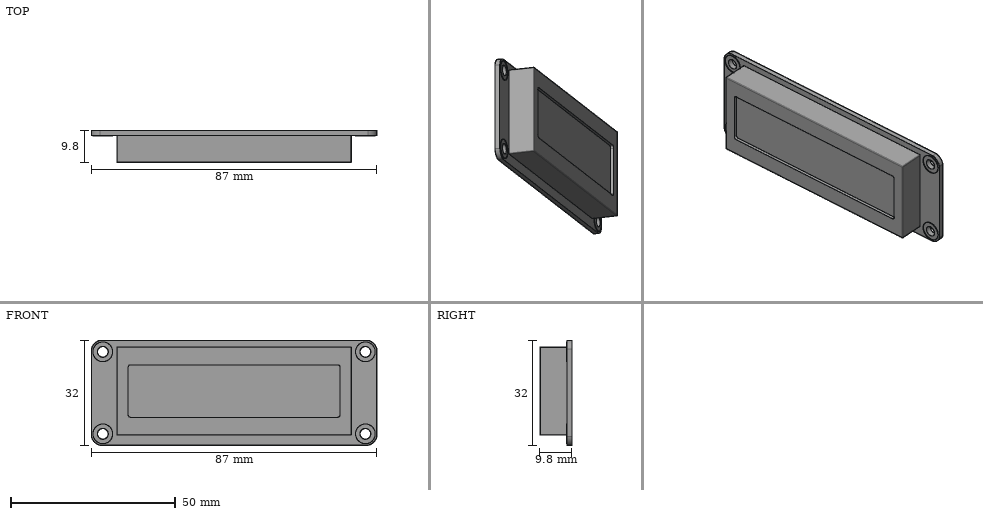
import cadquery as cq
import math

PLATE_LENGTH = 87.0
PLATE_HEIGHT = 32.0
PLATE_THICKNESS = 1.6

HOLE_DIAMETER = 3.2
HOLE_EDGE_DISTANCE = 3.5
PAD_DIAMETER = 6.0
PAD_THICKNESS = 0.2

PLATE_CORNER_RADIUS = 3.6

OVERALL_DEPTH = 9.8
HOUSING_LENGTH = 71.4
HOUSING_HEIGHT = 26.8
HOUSING_DEPTH = OVERALL_DEPTH - PLATE_THICKNESS
HOUSING_EDGE_RADIUS = 0.2
HOUSING_OFFSET_Z = 0.55

WINDOW_LENGTH = 64.6
WINDOW_HEIGHT = 16.0
WINDOW_DEPTH = 1.0
WINDOW_CORNER_RADIUS = 0.8

HOLE_SPACING_X = PLATE_LENGTH - 2 * HOLE_EDGE_DISTANCE
HOLE_SPACING_Z = PLATE_HEIGHT - 2 * HOLE_EDGE_DISTANCE


def plane_at_depth(depth):
    """XZ plane at the given distance in front of the plate's back, facing -Y."""
    return cq.Workplane("XZ", origin=(0, -depth, 0))


def at_holes(plane):
    """Put the four screw positions on a plane."""
    return plane.rarray(HOLE_SPACING_X, HOLE_SPACING_Z, 2, 2)


def make_plate():
    half_x = PLATE_LENGTH / 2
    half_z = PLATE_HEIGHT / 2
    center_x = HOLE_SPACING_X / 2
    center_z = HOLE_SPACING_Z / 2
    arc_reach = math.sqrt(PLATE_CORNER_RADIUS**2 - HOLE_EDGE_DISTANCE**2)
    arc_x = center_x + arc_reach
    arc_z = center_z + arc_reach
    diagonal = PLATE_CORNER_RADIUS / math.sqrt(2)
    mid_x = center_x + diagonal
    mid_z = center_z + diagonal

    outline = (
        plane_at_depth(0)
        .moveTo(-arc_x, half_z)
        .lineTo(arc_x, half_z)
        .threePointArc((mid_x, mid_z), (half_x, arc_z))
        .lineTo(half_x, -arc_z)
        .threePointArc((mid_x, -mid_z), (arc_x, -half_z))
        .lineTo(-arc_x, -half_z)
        .threePointArc((-mid_x, -mid_z), (-half_x, -arc_z))
        .lineTo(-half_x, arc_z)
        .threePointArc((-mid_x, mid_z), (-arc_x, half_z))
        .close()
    )
    return outline.extrude(PLATE_THICKNESS)


def make_pads():
    pads_plane = plane_at_depth(PLATE_THICKNESS)
    return at_holes(pads_plane).circle(PAD_DIAMETER / 2).extrude(PAD_THICKNESS)


def make_housing():
    base = plane_at_depth(PLATE_THICKNESS).center(0, HOUSING_OFFSET_Z).rect(HOUSING_LENGTH, HOUSING_HEIGHT)
    housing = base.extrude(HOUSING_DEPTH)
    return housing.edges("|Y or <Y").fillet(HOUSING_EDGE_RADIUS)


def make_window():
    floor = plane_at_depth(OVERALL_DEPTH - WINDOW_DEPTH)
    window = floor.center(0, HOUSING_OFFSET_Z).rect(WINDOW_LENGTH, WINDOW_HEIGHT).extrude(WINDOW_DEPTH)
    return window.edges("|Y").fillet(WINDOW_CORNER_RADIUS)


def make_screw_holes():
    hole_depth = PLATE_THICKNESS + PAD_THICKNESS
    return at_holes(plane_at_depth(0)).circle(HOLE_DIAMETER / 2).extrude(hole_depth)


body = make_plate().union(make_pads()).union(make_housing())
result = body.cut(make_window()).cut(make_screw_holes())